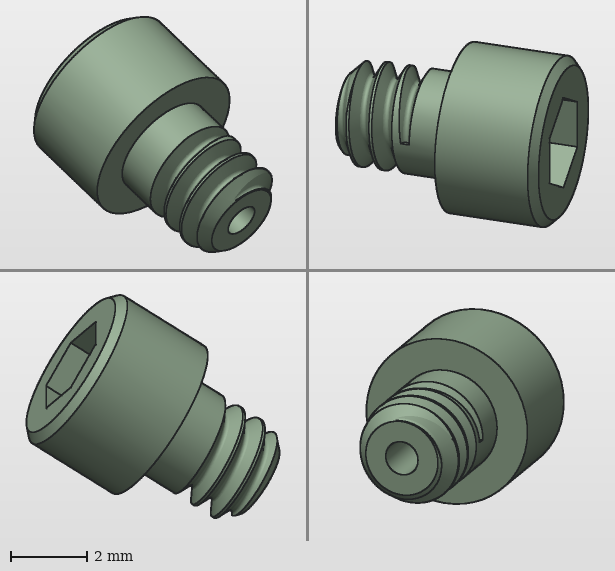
import cadquery as cq
import math

total_length = 5.97
head_diameter = 4.56
head_length = 2.8
head_chamfer = 0.225
shank_diameter = 2.84
tip_chamfer = 0.4

socket_across_flats = head_diameter / 2
socket_depth = 1.285
bore_diameter = 0.915

pitch = 0.63
half_angle = math.radians(30)
crest_flat = pitch / 8
thread_start = 4.07
lead_in_turn = 0.25
lead_in_sections = 5
overshoot = 0.06

shank_radius = shank_diameter / 2
groove_half_width = (pitch - crest_flat) / 2
apex_depth = groove_half_width / math.tan(half_angle)
root_radius = pitch * math.sqrt(3) / 12
root_depth = apex_depth - root_radius
lead_in_lift = lead_in_turn * pitch / math.tan(half_angle)


def make_head():
    head = cq.Workplane("YZ").circle(head_diameter / 2).extrude(head_length)
    return head.faces("<X").chamfer(head_chamfer)


def make_socket():
    corner_diameter = socket_across_flats / math.cos(math.pi / 6)
    hexagon = cq.Workplane("YZ").polygon(6, corner_diameter).extrude(socket_depth)
    return hexagon.rotate((0, 0, 0), (1, 0, 0), 90)


def groove_profile(turn, lift):
    """Groove section in a radial plane, `turn` turns past the +Z side and raised by `lift`."""
    arc_centre = shank_radius - root_depth + root_radius + lift
    tangent_x = root_radius * math.cos(half_angle)
    tangent_radius = arc_centre - root_radius * math.sin(half_angle)
    top_radius = shank_radius + overshoot
    top_x = groove_half_width + (overshoot - lift) * math.tan(half_angle)
    profile = (
        cq.Workplane("XZ")
        .moveTo(-top_x, top_radius)
        .lineTo(-tangent_x, tangent_radius)
        .threePointArc((0, arc_centre - root_radius), (tangent_x, tangent_radius))
        .lineTo(top_x, top_radius)
        .close()
        .val()
    )
    turned = profile.rotate(cq.Vector(0, 0, 0), cq.Vector(1, 0, 0), 360 * turn)
    return turned.translate(cq.Vector(thread_start + turn * pitch, 0, 0))


def make_lead_in():
    sections = []
    for i in range(lead_in_sections):
        remaining = 1 - i / (lead_in_sections - 1)
        sections.append(groove_profile(-lead_in_turn * remaining, lead_in_lift * remaining))
    return cq.Solid.makeLoft(sections)


def make_full_groove():
    helix_length = total_length + pitch - thread_start
    helix = cq.Wire.makeHelix(
        pitch, helix_length, shank_radius, cq.Vector(thread_start, 0, 0), cq.Vector(1, 0, 0)
    )
    return cq.Solid.sweep(groove_profile(0, 0), [], helix, isFrenet=True)


def make_tip_trim():
    """Ring outside the conical tip."""
    return (
        cq.Workplane("XY")
        .moveTo(total_length - tip_chamfer - overshoot, shank_radius + overshoot)
        .lineTo(total_length, shank_radius - tip_chamfer)
        .lineTo(total_length + overshoot, shank_radius - tip_chamfer)
        .lineTo(total_length + overshoot, shank_radius + overshoot)
        .close()
        .revolve(360, (0, 0, 0), (1, 0, 0))
    )


def make_threaded_shank():
    shank = cq.Workplane("YZ").circle(shank_radius).extrude(total_length)
    shank = shank.cut(cq.Workplane(make_full_groove()))
    shank = shank.cut(cq.Workplane(make_lead_in()))
    return shank.cut(make_tip_trim())


bore = cq.Workplane("YZ").circle(bore_diameter / 2).extrude(total_length)

result = make_head().union(make_threaded_shank()).cut(make_socket()).cut(bore)